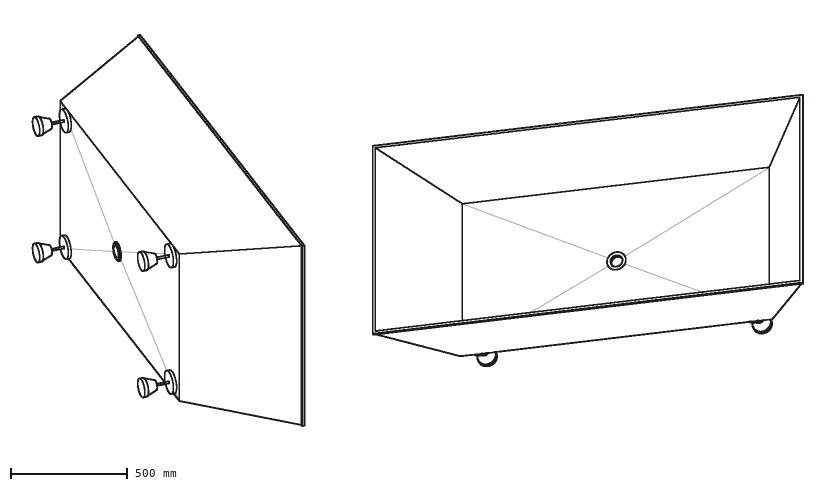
import cadquery as cq

rim_length = 1905.0
rim_width = 895.0
rim_thickness = 11.0
floor_length = 1383.0
floor_width = 732.0
floor_depth = 472.0
floor_fall = 10.5
wall = 11.0

overall_depth = 615.0
foot_x = 610.0
foot_z = 315.0
pad_radius = 51.0
pad_bottom_depth = floor_depth + 15.0
rod_radius = 4.8
cone_start_depth = 550.0
cone_top_radius = 23.0
cone_base_radius = 40.0
sole_radius = 42.0
sole_thickness = 17.0
sole_top_depth = overall_depth - sole_thickness

drain_radius = 42.0
drain_bore_radius = 27.0
drain_edge_chamfer = 4.0
drain_projection = 5.0

floor_centre_length = 20.0
floor_centre_width = floor_centre_length * floor_width / floor_length
drain_floor_depth = floor_depth + floor_fall
drain_bottom_depth = drain_floor_depth + drain_projection


def plane_at(depth):
    """Plane at a depth below the rim, with local axes X and Z and its normal toward -Y."""
    return cq.Workplane("XZ", origin=(0, -depth, 0))


def frustum(length, width, depth, end_length, end_width, end_depth):
    """Four-sided taper between two centred rectangles."""
    return (
        plane_at(depth)
        .rect(length, width)
        .workplane(offset=end_depth - depth)
        .rect(end_length, end_width)
        .loft(ruled=True)
    )


def disc(radius, depth, end_depth):
    return plane_at(depth).circle(radius).extrude(end_depth - depth)


def basin(inset):
    """Tapered basin with a shallow pyramidal floor, reduced by an inset on the sides and floor."""
    body_length = rim_length - 2 * inset
    body_width = rim_width - 2 * inset
    bottom_length = floor_length - 2 * inset
    bottom_width = floor_width - 2 * inset
    bottom_depth = floor_depth - inset
    sides = frustum(body_length, body_width, 0, bottom_length, bottom_width, bottom_depth)
    floor = frustum(
        bottom_length, bottom_width, bottom_depth,
        floor_centre_length, floor_centre_width, bottom_depth + floor_fall,
    )
    return sides.union(floor)


def make_foot():
    """Mounting pad, threaded rod and flared foot about the local Y axis."""
    pad = disc(pad_radius, floor_depth, pad_bottom_depth)
    rod = disc(rod_radius, floor_depth, cone_start_depth)
    cone = (
        plane_at(cone_start_depth)
        .circle(cone_top_radius)
        .workplane(offset=sole_top_depth - cone_start_depth)
        .circle(cone_base_radius)
        .loft(ruled=True)
    )
    sole = disc(sole_radius, sole_top_depth, overall_depth)
    return pad.union(rod).union(cone).union(sole)


def make_tub():
    """Hollow tub with a straight-edged rim, four fixed feet and a hole for the drain."""
    rim = plane_at(0).rect(rim_length, rim_width).extrude(rim_thickness)
    tub = basin(0).union(rim).cut(basin(wall))
    for side_x in (-1, 1):
        for side_z in (-1, 1):
            tub = tub.union(make_foot().translate((side_x * foot_x, 0, side_z * foot_z)))
    return tub.cut(disc(drain_radius, floor_depth - wall, drain_bottom_depth))


def make_drain():
    """Drain collar filling the floor hole, with a bevelled lower edge."""
    collar = disc(drain_radius, drain_floor_depth - wall, drain_bottom_depth)
    collar = collar.faces("<Y").chamfer(drain_edge_chamfer)
    return collar.cut(disc(drain_bore_radius, floor_depth - wall, drain_bottom_depth))


tub = make_tub()
drain = make_drain()
result = cq.Compound.makeCompound([tub.val(), drain.val()])